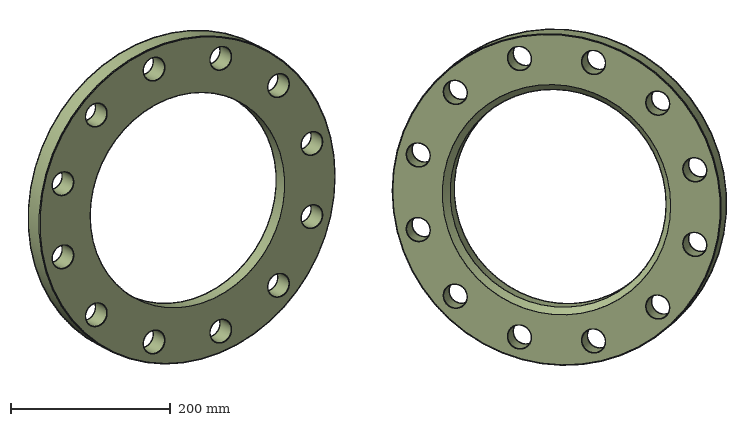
import cadquery as cq

outer_diameter = 425.0
thickness = 30.0
bore_diameter = 279.0
bore_chamfer = 8.0
rim_chamfer = 1.0

bolt_circle_diameter = 369.8
bolt_hole_diameter = 30.0
bolt_hole_chamfer = 0.5
bolt_hole_count = 12
hole_spacing_angle = 360 / bolt_hole_count
first_hole_angle = hole_spacing_angle / 2


def make_ring():
    """Ring from X = 0 to X = thickness, with both outer rims chamfered."""
    disc = cq.Workplane("YZ").circle(outer_diameter / 2).extrude(thickness)
    disc = disc.edges("%CIRCLE").chamfer(rim_chamfer)
    return disc.faces(">X").workplane().hole(bore_diameter)


def chamfer_bore(ring):
    """Bevel the bore mouth on the -X face."""
    bore_mouth = ring.faces("<X").edges(cq.selectors.RadiusNthSelector(0))
    return bore_mouth.chamfer(bore_chamfer)


def drill_bolt_holes(ring):
    """Cut the through holes on the bolt circle and break their edges on both faces."""
    drilled = (
        ring.faces("<X")
        .workplane(origin=(0, 0, 0))
        .polarArray(bolt_circle_diameter / 2, first_hole_angle, 360, bolt_hole_count)
        .hole(bolt_hole_diameter)
    )
    hole_mouths = drilled.faces("<X or >X").edges(cq.selectors.RadiusNthSelector(0))
    return hole_mouths.chamfer(bolt_hole_chamfer)


result = drill_bolt_holes(chamfer_bore(make_ring()))